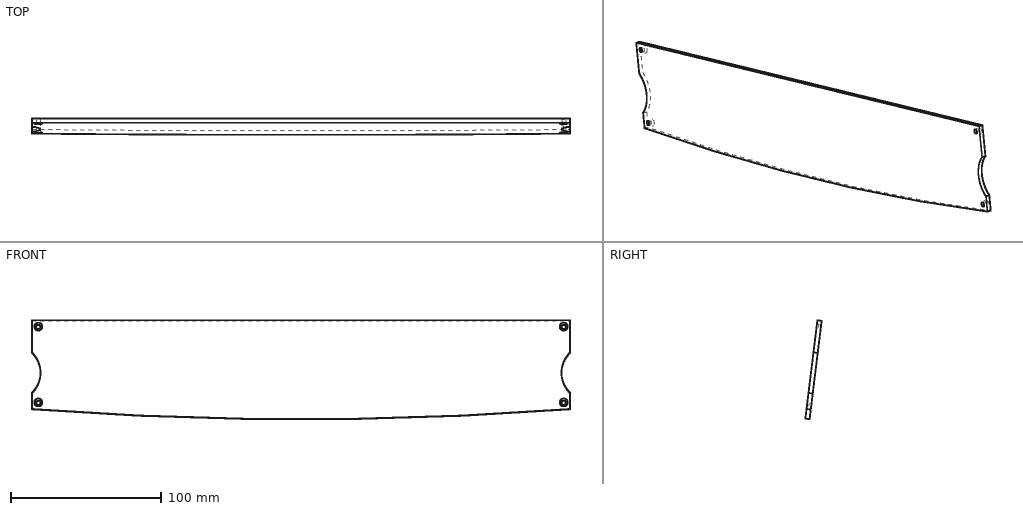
import cadquery as cq

length = 358.0
height = 66.2
thickness = 3.0
tilt_degrees = 7.0
bow_depth = 6.8

notch_depth = 5.7
notch_chord = 27.2
notch_centre_drop = 35.0

hole_diameter = 2.9
countersink_diameter = 5.5
countersink_angle = 90.0
hole_edge_distance = 4.3
lower_hole_drop = 55.0

half_length = length / 2
corner_drop = height - bow_depth
notch_top = -notch_centre_drop + notch_chord / 2
notch_bottom = -notch_centre_drop - notch_chord / 2
notch_floor = half_length - notch_depth


def make_plate():
    """Upright plate with its front face on Y = 0 and its top edge on Z = 0."""
    return (
        cq.Workplane("XZ")
        .moveTo(-half_length, 0)
        .lineTo(half_length, 0)
        .lineTo(half_length, notch_top)
        .threePointArc((notch_floor, -notch_centre_drop), (half_length, notch_bottom))
        .lineTo(half_length, -corner_drop)
        .threePointArc((0, -height), (-half_length, -corner_drop))
        .lineTo(-half_length, notch_bottom)
        .threePointArc((-notch_floor, -notch_centre_drop), (-half_length, notch_top))
        .close()
        .extrude(-thickness)
    )


def drill_holes(plate):
    """Countersunk through holes, sunk from the front face."""
    hole_x = half_length - hole_edge_distance
    centres = [(x, -drop) for x in (-hole_x, hole_x) for drop in (hole_edge_distance, lower_hole_drop)]
    return (
        plate.faces("<Y")
        .workplane(origin=(0, 0, 0))
        .pushPoints(centres)
        .cskHole(hole_diameter, countersink_diameter, countersink_angle)
    )


result = drill_holes(make_plate()).rotate((0, 0, 0), (1, 0, 0), -tilt_degrees)